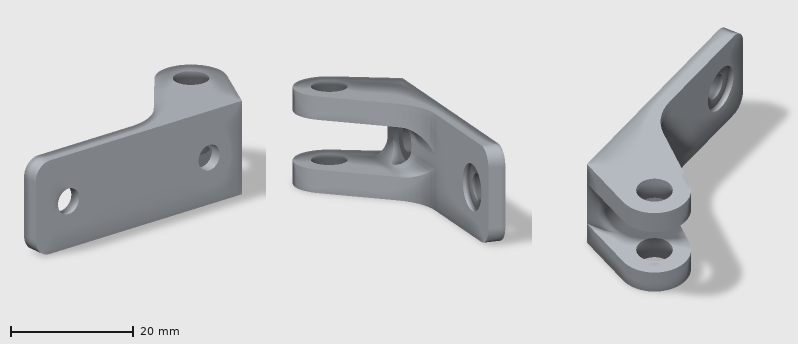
import cadquery as cq
import math

length = 50.0
height = 16.5
pivot_radius = 6.0
pivot_hole_diameter = 6.0

back_x = 13.0
plate_thickness = 3.0
plate_corner_radius = 3.0
bend_radius = 10.0
bend_end_y = -21.0

slot_width = 8.5
slot_fillet_radius = 3.0
web_end_round = 1.0

screw_hole_diameter = 4.5
counterbore_diameter = 8.0
counterbore_depth = 1.0
first_screw_y = -7.0
screw_spacing = 30.0

plate_x = back_x - plate_thickness
plate_end_y = pivot_radius - length


def polar(center, radius, angle):
    """Point on a circle at an angle in radians."""
    return (center[0] + radius * math.cos(angle), center[1] + radius * math.sin(angle))


def bracket_blank():
    """Solid bracket: pivot eye, straight flanks, bend and plate, without slot or holes."""
    eye = (0, 0)
    upper_angle = math.acos(pivot_radius / back_x)
    bend = (plate_x - bend_radius, bend_end_y)
    bend_direction = math.atan2(bend[1], bend[0])
    lower_angle = bend_direction - math.acos((pivot_radius + bend_radius) / math.hypot(*bend))
    bend_start_angle = lower_angle + math.pi

    return (
        cq.Workplane("XY")
        .moveTo(back_x, plate_end_y)
        .lineTo(back_x, 0)
        .lineTo(*polar(eye, pivot_radius, upper_angle))
        .threePointArc((-pivot_radius, 0), polar(eye, pivot_radius, lower_angle))
        .lineTo(*polar(bend, bend_radius, bend_start_angle))
        .threePointArc(polar(bend, bend_radius, bend_start_angle / 2), (plate_x, bend_end_y))
        .lineTo(plate_x, plate_end_y)
        .close()
        .extrude(height / 2, both=True)
    )


def slot_box(x_min, x_max, y_min, y_max):
    """Box filling the slot width over the given X and Y ranges."""
    return (
        cq.Workplane("XY")
        .box(x_max - x_min, y_max - y_min, slot_width, centered=(False, False, True))
        .translate((x_min, y_min, 0))
    )


def slot_web():
    """Plate between the cheeks, with concave sides and a rounded end at the pivot."""
    open_x = -pivot_radius
    channel = (
        slot_box(open_x, plate_x, bend_end_y, 0)
        .edges("|Y and >X")
        .fillet(slot_fillet_radius)
    )
    block = (
        cq.Workplane("XY")
        .box(back_x - open_x, -bend_end_y, height, centered=(False, False, True))
        .translate((open_x, bend_end_y, 0))
    )
    margin = 0.5
    end_edges = cq.selectors.BoxSelector(
        (open_x + margin, -web_end_round / 2, -slot_width / 2 - margin),
        (plate_x + margin, web_end_round / 2, slot_width / 2 + margin),
    )
    rounded = block.cut(channel).edges(end_edges).fillet(web_end_round)
    return rounded.intersect(slot_box(open_x, back_x, bend_end_y, 0))


def screw_cutter(y):
    """Screw hole through the plate with a counterbore in the inner face."""
    hole = cq.Workplane("YZ", origin=(0, y, 0)).circle(screw_hole_diameter / 2).extrude(back_x)
    counterbore = (
        cq.Workplane("YZ", origin=(0, y, 0))
        .circle(counterbore_diameter / 2)
        .extrude(plate_x + counterbore_depth)
    )
    return hole.union(counterbore)


blank = bracket_blank()
slot_region = slot_box(-pivot_radius, back_x, bend_end_y, pivot_radius)
web = slot_web().intersect(blank)
result = blank.cut(slot_region).union(web)

result = result.edges("|X and <Y").fillet(plate_corner_radius)

pivot_hole = cq.Workplane("XY").circle(pivot_hole_diameter / 2).extrude(height / 2, both=True)
result = result.cut(pivot_hole)

for screw_y in (first_screw_y, first_screw_y - screw_spacing):
    result = result.cut(screw_cutter(screw_y))